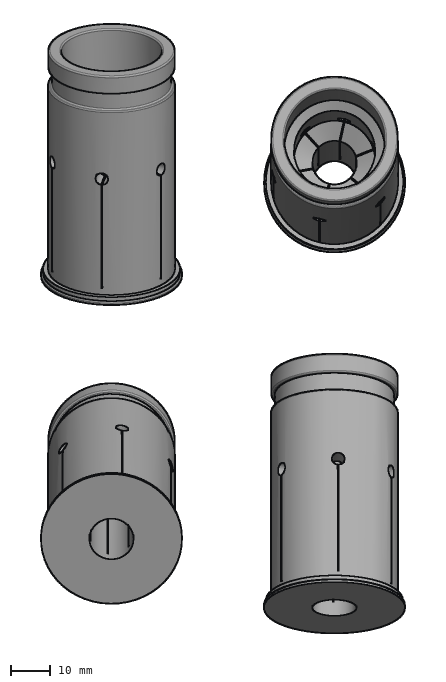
import cadquery as cq
import math

total_height = 62.5
flange_height = 0.9
step_height = 2.0
groove_height = 4.7
head_height = 5.0

flange_diameter = 35.5
step_diameter = 34.5
body_diameter = 32.0
neck_diameter = 30.0
head_diameter = 31.9

head_fillet = 0.4
shoulder_fillet = 0.3
neck_fillet = 0.4
flange_fillet = 0.3
mouth_fillet = 0.4

mouth_diameter = 25.3
mouth_depth = 15.5
chamber_diameter = 20.4
bore_diameter = 11.11
cone_half_angle = 60.0
chamber_floor_z = 31.5

relief_count = 6
relief_start_angle = 30.0
relief_hole_diameter = 3.2
relief_hole_z = 34.0
slot_width = 0.3
slot_bottom_z = 3.8


def cone_drop(upper_diameter, lower_diameter):
    """Height lost by a bore cone narrowing between two diameters."""
    return (upper_diameter - lower_diameter) / 2 / math.tan(math.radians(cone_half_angle))


def make_outside():
    """Turned outside: flange, step, body, neck groove and head."""
    flange_radius = flange_diameter / 2
    step_radius = step_diameter / 2
    body_radius = body_diameter / 2
    neck_radius = neck_diameter / 2
    head_radius = head_diameter / 2
    head_bottom = total_height - head_height
    shoulder_z = head_bottom - groove_height
    profile = (
        cq.Workplane("XZ")
        .lineTo(flange_radius, 0)
        .lineTo(flange_radius, flange_height - flange_fillet)
        .radiusArc((flange_radius - flange_fillet, flange_height), -flange_fillet)
        .lineTo(step_radius, flange_height)
        .lineTo(step_radius, step_height)
        .lineTo(body_radius, step_height)
        .lineTo(body_radius, shoulder_z - shoulder_fillet)
        .radiusArc((body_radius - shoulder_fillet, shoulder_z), -shoulder_fillet)
        .lineTo(neck_radius + neck_fillet, shoulder_z)
        .radiusArc((neck_radius, shoulder_z + neck_fillet), neck_fillet)
        .lineTo(neck_radius, head_bottom)
        .lineTo(head_radius - head_fillet, head_bottom)
        .radiusArc((head_radius, head_bottom + head_fillet), -head_fillet)
        .lineTo(head_radius, total_height - head_fillet)
        .radiusArc((head_radius - head_fillet, total_height), -head_fillet)
        .lineTo(0, total_height)
        .close()
    )
    return profile.revolve(360, (0, 0, 0), (0, 1, 0))


def make_bore():
    """Stepped bore: rounded mouth, taper, chamber, conical floor and through bore."""
    mouth_radius = mouth_diameter / 2
    chamber_radius = chamber_diameter / 2
    bore_radius = bore_diameter / 2
    mouth_floor = total_height - mouth_depth
    profile = (
        cq.Workplane("XZ")
        .lineTo(bore_radius, 0)
        .lineTo(bore_radius, chamber_floor_z - cone_drop(chamber_diameter, bore_diameter))
        .lineTo(chamber_radius, chamber_floor_z)
        .lineTo(chamber_radius, mouth_floor - cone_drop(mouth_diameter, chamber_diameter))
        .lineTo(mouth_radius, mouth_floor)
        .lineTo(mouth_radius, total_height - mouth_fillet)
        .radiusArc((mouth_radius + mouth_fillet, total_height), mouth_fillet)
        .lineTo(0, total_height)
        .close()
    )
    return profile.revolve(360, (0, 0, 0), (0, 1, 0))


def make_relief(angle):
    """Radial hole and the slot below it, from the axis out through the wall."""
    hole = (
        cq.Workplane("YZ")
        .center(0, relief_hole_z)
        .circle(relief_hole_diameter / 2)
        .extrude(body_diameter)
    )
    slot_height = relief_hole_z - slot_bottom_z
    slot = (
        cq.Workplane("XY", origin=(0, 0, slot_bottom_z))
        .box(body_diameter, slot_width, slot_height, centered=(False, True, False))
    )
    return hole.union(slot).rotate((0, 0, 0), (0, 0, 1), angle)


result = make_outside().cut(make_bore())
for index in range(relief_count):
    result = result.cut(make_relief(relief_start_angle + index * 360 / relief_count))